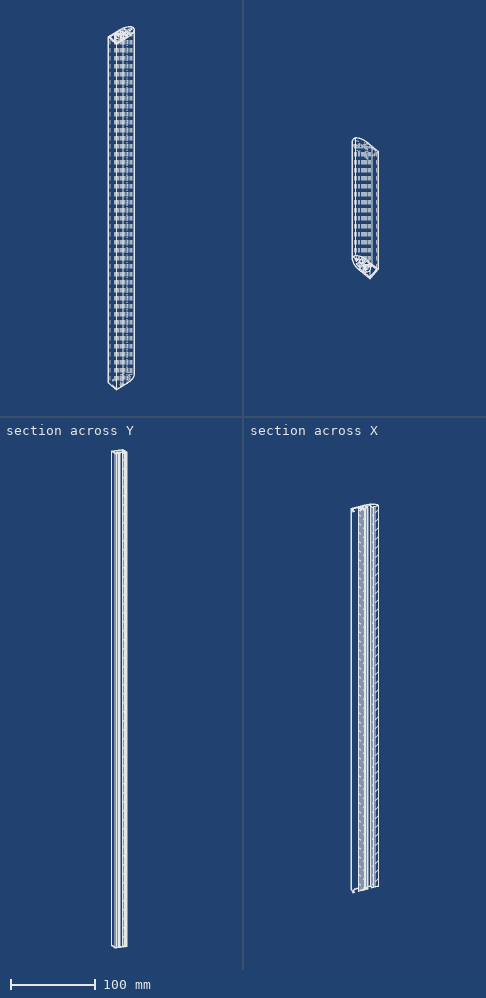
import cadquery as cq
import math

length = 609.5
width = 15.0
depth = 32.5
half_width = width / 2
back_y = -depth / 2
tip_y = depth / 2
wall = 1.5
inner_half_width = half_width - wall

joint_y = -6.0
flank_start_y = 0.5
shoulder_y = 10.0
flank_angle = 16.5
flank_radius = (shoulder_y - flank_start_y) / math.sin(math.radians(flank_angle))
tip_end_y = 15.0
tip_half_width = 3.0
tip_bulge = 0.2

middle_web_y = 1.0
upper_web_y = 7.5
upper_web_top_y = 10.0
rib_width = 1.0
nose_wall = 2.5
tip_cell_half_width = 2.0
tip_roof_y = 14.0

tube_y = -5.0
tube_radius = 3.0
bore_radius = 1.5
boss_radius = tube_radius + wall


def flank_inset(y):
    """How far the curved flank at height y lies inside the straight sides."""
    return flank_radius - math.sqrt(flank_radius**2 - (y - flank_start_y) ** 2)


def flank_x(y):
    return half_width - flank_inset(y)


def box(x_min, x_max, y_min, y_max):
    """A full-length bar with a rectangular section."""
    return (
        cq.Workplane("XY", origin=((x_min + x_max) / 2, (y_min + y_max) / 2, -length / 2))
        .rect(x_max - x_min, y_max - y_min)
        .extrude(length)
    )


def round_bar(radius):
    """A full-length round bar on the tube axis."""
    return cq.Workplane("XY", origin=(0, tube_y, -length / 2)).circle(radius).extrude(length)


def tip_curve_middle(side):
    """Middle point of the tip curve on one side (-1 left, +1 right)."""
    shoulder_x = flank_x(shoulder_y)
    run = shoulder_x - tip_half_width
    rise = tip_end_y - shoulder_y
    chord = math.hypot(run, rise)
    x = (shoulder_x + tip_half_width) / 2 + tip_bulge * rise / chord
    y = (shoulder_y + tip_end_y) / 2 + tip_bulge * run / chord
    return (side * x, y)


def nose_blank():
    flank_middle_y = (flank_start_y + shoulder_y) / 2
    flank_middle_x = flank_x(flank_middle_y)
    shoulder_x = flank_x(shoulder_y)
    return (
        cq.Workplane("XY", origin=(0, 0, -length / 2))
        .moveTo(-half_width, joint_y)
        .lineTo(half_width, joint_y)
        .lineTo(half_width, flank_start_y)
        .threePointArc((flank_middle_x, flank_middle_y), (shoulder_x, shoulder_y))
        .threePointArc(tip_curve_middle(1), (tip_half_width, tip_end_y))
        .threePointArc((0, tip_y), (-tip_half_width, tip_end_y))
        .threePointArc(tip_curve_middle(-1), (-shoulder_x, shoulder_y))
        .threePointArc((-flank_middle_x, flank_middle_y), (-half_width, flank_start_y))
        .close()
        .extrude(length)
    )


def side_cell():
    """Cavity on the right of the rib, between the middle and the upper web."""
    floor_y = middle_web_y + wall
    return (
        cq.Workplane("XY", origin=(0, 0, -length / 2))
        .moveTo(rib_width / 2, floor_y)
        .lineTo(flank_x(floor_y) - nose_wall, floor_y)
        .lineTo(flank_x(upper_web_y) - nose_wall, upper_web_y)
        .lineTo(rib_width / 2, upper_web_y)
        .close()
        .extrude(length)
    )


def tip_cell():
    """Triangular cavity in the tip."""
    return (
        cq.Workplane("XY", origin=(0, 0, -length / 2))
        .moveTo(-tip_cell_half_width, upper_web_top_y)
        .lineTo(tip_cell_half_width, upper_web_top_y)
        .lineTo(0, tip_roof_y)
        .close()
        .extrude(length)
    )


def make_nose():
    chamber = box(-inner_half_width, inner_half_width, joint_y + wall, middle_web_y)
    socket_shell = round_bar(boss_radius)
    right_cell = side_cell()
    body = nose_blank().cut(chamber.cut(socket_shell)).cut(round_bar(tube_radius))
    return body.cut(right_cell).cut(right_cell.mirror("YZ")).cut(tip_cell())


def make_base():
    channel = box(-half_width, half_width, back_y, joint_y)
    chamber = box(-inner_half_width, inner_half_width, back_y + wall, joint_y - wall)
    lower_boss = round_bar(boss_radius).intersect(channel)
    body = channel.cut(chamber).union(lower_boss).union(round_bar(tube_radius))
    return body.cut(round_bar(bore_radius))


nose = make_nose()
base = make_base()

result = cq.Compound.makeCompound([nose.val(), base.val()])